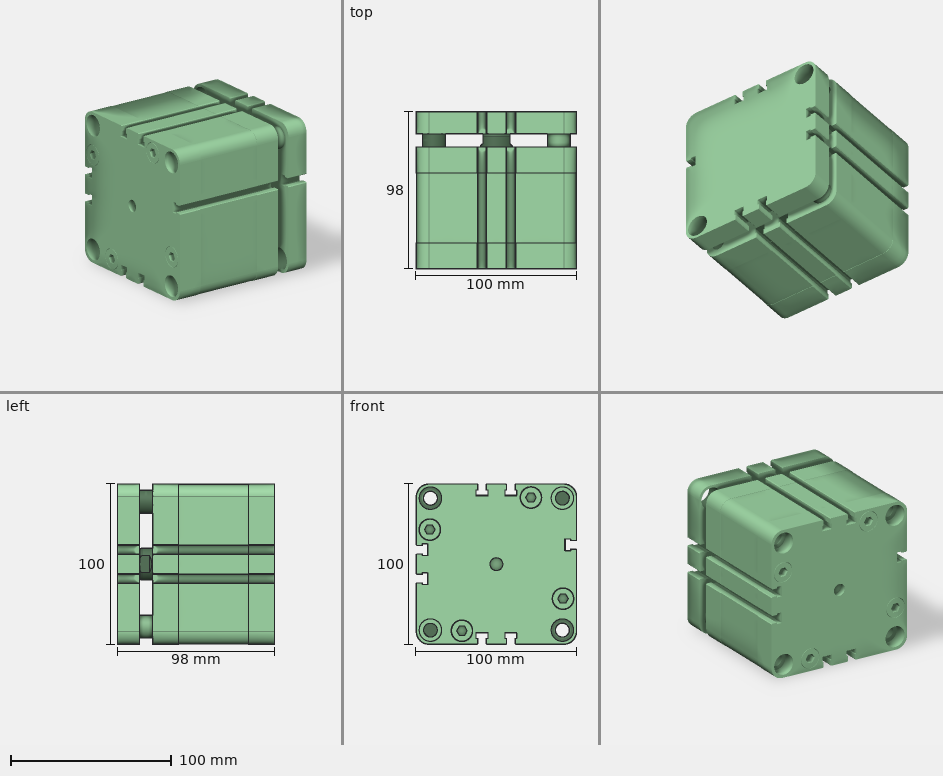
import cadquery as cq
import math

side = 100.0
half_side = side / 2
corner_radius = 8.0
tube_inset = 0.2
cap_length = 16.2
body_length = 76.0
rod_exposed_length = 8.0
plate_thickness = 14.0

tube_start = cap_length
tube_end = body_length - cap_length
plate_start = body_length + rod_exposed_length
plate_end = plate_start + plate_thickness

slot_offset = 9.0
single_slot_offset = 12.0
slot_opening = 5.2
slot_inner_width = 7.2
slot_neck_depth = 3.8
cap_slot_depth = 7.5
tube_slot_depth = 7.0
slot_lip_chamfer = 0.5

mount_offset = 41.1
mount_hole_diameter = 8.57
mount_bore_diameter = 14.0
mount_bore_depth = 9.0
plate_hole_diameter = 14.5

screw_near_offset = 21.5
screw_far_offset = 41.5
screw_pocket_diameter = 13.5
screw_head_diameter = 13.0
screw_head_height = 8.0
hex_across_flats = 5.7
hex_depth = 4.0

centre_hole_diameter = 8.0
centre_hole_depth = 4.0

rod_diameter = 20.0
rod_end_fillet = 1.5
rod_flats_width = 17.0
rod_flat_length = 6.0
post_diameter = 14.4
post_offset = 38.9


def section_plane(y):
    """Plane at station y whose local axes are global X and Z; it extrudes toward -Y."""
    return cq.Workplane("XZ", origin=(0, y, 0))


def rod_between(x, z, diameter, y_start, y_end):
    return section_plane(y_end).center(x, z).circle(diameter / 2).extrude(y_end - y_start)


def slot_cutter(offset, angle, depth, y_start, y_end):
    """T-slot with chamfered lips on the +Z face at the given X offset, turned about Y by angle."""
    opening = slot_opening / 2
    inner = slot_inner_width / 2
    neck_z = half_side - slot_neck_depth
    floor_z = half_side - depth
    right_side = [
        (opening + slot_lip_chamfer, half_side),
        (opening, half_side - slot_lip_chamfer),
        (opening, neck_z),
        (inner, neck_z),
        (inner, floor_z),
    ]
    left_side = [(-x, z) for x, z in reversed(right_side)]
    outline = [(x + offset, z) for x, z in right_side + left_side]
    cutter = section_plane(y_end).polyline(outline).close().extrude(y_end - y_start)
    return cutter.rotate((0, 0, 0), (0, 1, 0), angle)


def slotted_block(y_start, y_end, slot_depth, inset=0.0):
    """Rounded square block with two slots on three faces and one on the +X face."""
    width = side - 2 * inset
    block = section_plane(y_end).rect(width, width).extrude(y_end - y_start)
    block = block.edges("|Y").fillet(corner_radius - inset)
    for angle in (0, 180, 270):
        for offset in (-slot_offset, slot_offset):
            block = block.cut(slot_cutter(offset, angle, slot_depth, y_start, y_end))
    return block.cut(slot_cutter(-single_slot_offset, 90, slot_depth, y_start, y_end))


def piston_rod():
    """Rod rounded over at the plate end, with flats on the -X and +X sides."""
    rod = rod_between(0, 0, rod_diameter, body_length, plate_start)
    rod = rod.faces(">Y").edges().fillet(rod_end_fillet)
    flat_x = rod_flats_width / 2
    rod_x = rod_diameter / 2
    flat_start = plate_start - rod_flat_length
    for direction in (-1, 1):
        outline = [
            (direction * flat_x, plate_start),
            (direction * flat_x, flat_start),
            (direction * rod_x, flat_start - (rod_x - flat_x)),
            (direction * rod_x, plate_start),
        ]
        cutter = cq.Workplane("XY").polyline(outline).close().extrude(rod_x, both=True)
        rod = rod.cut(cutter)
    return rod


def add_mounting_holes(part):
    for x in (-mount_offset, mount_offset):
        for z in (-mount_offset, mount_offset):
            part = part.cut(rod_between(x, z, mount_hole_diameter, 0, body_length))
            part = part.cut(rod_between(x, z, mount_bore_diameter, 0, mount_bore_depth))
    return part


def add_screws(part):
    """Four screws in a pinwheel pattern, each ringed by the gap around its head."""
    centres = [
        (-screw_far_offset, screw_near_offset),
        (screw_near_offset, screw_far_offset),
        (screw_far_offset, -screw_near_offset),
        (-screw_near_offset, -screw_far_offset),
    ]
    hex_diameter = hex_across_flats / math.cos(math.radians(30))
    for x, z in centres:
        pocket = rod_between(x, z, screw_pocket_diameter, 0, screw_head_height)
        head = rod_between(x, z, screw_head_diameter, 0, screw_head_height)
        socket = section_plane(hex_depth).center(x, z).polygon(6, hex_diameter).extrude(hex_depth)
        part = part.cut(pocket.cut(head)).cut(socket)
    return part


def cylinder_body():
    front_cap = slotted_block(0, tube_start, cap_slot_depth)
    tube = slotted_block(tube_start, tube_end, tube_slot_depth, tube_inset)
    rear_cap = slotted_block(tube_end, body_length, cap_slot_depth)
    body = front_cap.union(tube).union(rear_cap)
    body = add_screws(add_mounting_holes(body))
    return body.cut(rod_between(0, 0, centre_hole_diameter, 0, centre_hole_depth))


def end_plate():
    """Plate on the rod end, with access holes in the two corners free of posts."""
    plate = slotted_block(plate_start, plate_end, cap_slot_depth)
    for x in (-mount_offset, mount_offset):
        plate = plate.cut(rod_between(x, -x, plate_hole_diameter, plate_start, plate_end))
    return plate


def guide_posts():
    """Two posts on one diagonal, spanning the gap between body and plate."""
    posts = cq.Workplane("XY")
    for offset in (-post_offset, post_offset):
        posts = posts.union(rod_between(offset, offset, post_diameter, body_length, plate_start))
    return posts


result = cylinder_body().union(piston_rod()).union(guide_posts()).union(end_plate())